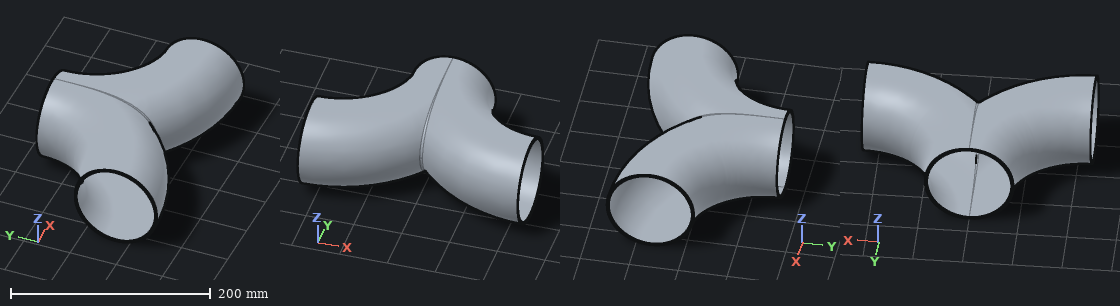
import cadquery as cq

pipe_diameter = 89.0
wall = 2.0
bend_radius = 115.0
bend_angle = 90.0
crotch_fillet = 2.0
bore_edge_rounding = 2.0

pipe_radius = pipe_diameter / 2
bore_radius = pipe_radius - wall


def elbow(radius):
    """Solid quarter bend from the shared outlet (facing +Y) to the -X opening."""
    profile = cq.Workplane("XZ").circle(radius)
    return profile.revolve(bend_angle, (-bend_radius, 0, 0), (-bend_radius, -1, 0))


def trimmed_elbow(radius):
    """Elbow cut off at the mitre plane X = 0, keeping the -X side."""
    size = 4 * bend_radius
    keep = cq.Workplane("XY").box(size, size, size).translate((-size / 2, 0, 0))
    return elbow(radius).intersect(keep)


def twin_elbow(radius, seam_radius):
    """Solid of two mirrored elbows meeting at X = 0, with the mitre seam filleted."""
    left = trimmed_elbow(radius)
    joined = left.union(left.mirror("YZ"))
    near_mitre_plane = cq.selectors.BoxSelector(
        (-wall, -bend_radius, -pipe_radius),
        (wall, 0, pipe_radius),
    )
    return joined.edges(near_mitre_plane).fillet(seam_radius)


outside = twin_elbow(pipe_radius, crotch_fillet)
bore = twin_elbow(bore_radius, bore_edge_rounding)

result = outside.cut(bore)